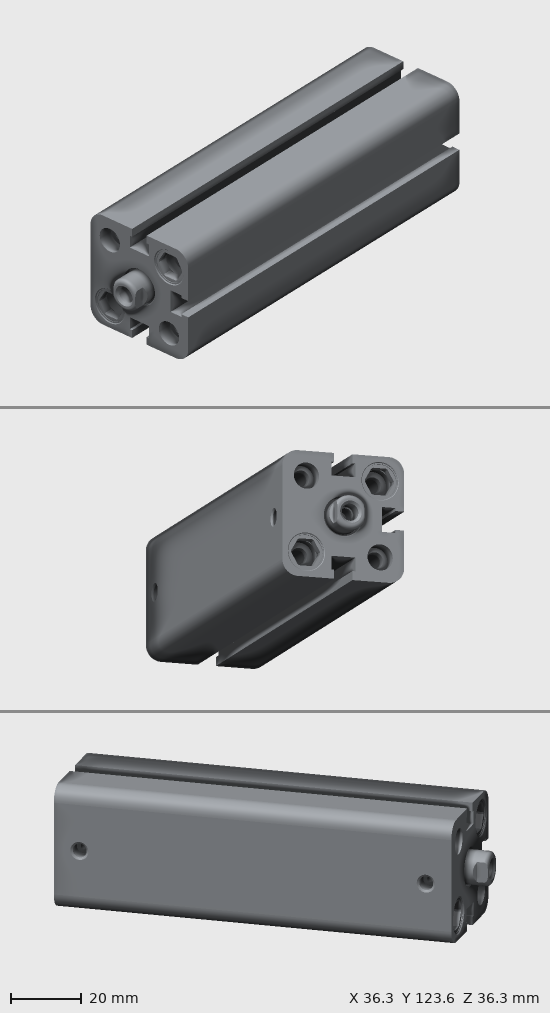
import cadquery as cq
import math

width = 36.3
total_length = 123.6
rod_reach = 6.5
body_length = total_length - rod_reach
corner_radius = 4.6

slot_opening = 5.5
slot_width = 7.2
slot_depth = 6.5
slot_lip = 2.6

bolt_offset = 11.0
through_diameter = 4.1
seat_diameter = 5.0
seat_depth = 1.2
bore_diameter = 7.5
bore_depth = 4.7

nut_rim_diameter = 11.1
nut_bore_diameter = 10.8
nut_bore_depth = 0.4
nut_face_diameter = 10.0
nut_face_depth = 0.6
nut_hex_flats = 7.8
nut_hex_corners = 8.7
nut_hex_depth = 3.5
nut_hole_diameter = 8.0
nut_hole_depth = 6.4

rod_diameter = 10.0
rod_tip_radius = 1.2
rod_flats = 8.0
flat_run_out_start = 2.3
rod_recess_rim = 11.6
rod_recess_diameter = 11.1
rod_recess_depth = 1.2
rod_mouth_diameter = 6.4
rod_thread_diameter = 5.0
rod_mouth_depth = 0.7
rod_core_diameter = 4.1
rod_thread_depth = 5.0
rod_hole_depth = 9.9

port_inset = 7.5
port_diameter = 5.3
port_thread_diameter = 4.1
port_bevel = 0.43
port_depth = 4.3
port_passage_diameter = 1.7
port_passage_depth = 6.8


def cylinder_y(diameter, start, length, x=0.0, z=0.0):
    """Cylinder along +Y from Y = start."""
    base = cq.Vector(x, start, z)
    return cq.Workplane(cq.Solid.makeCylinder(diameter / 2, length, base, cq.Vector(0, 1, 0)))


def cone_y(start_diameter, end_diameter, start, length, x=0.0, z=0.0):
    """Cone along +Y from Y = start."""
    base = cq.Vector(x, start, z)
    return cq.Workplane(
        cq.Solid.makeCone(start_diameter / 2, end_diameter / 2, length, base, cq.Vector(0, 1, 0))
    )


def make_slot():
    """Stepped slot cutter for the +Z side, narrow at the surface and wider inside."""
    half = width / 2
    opening = cq.Workplane().box(slot_opening, body_length, slot_depth)
    opening = opening.translate((0, body_length / 2, half - slot_depth / 2))
    undercut_height = slot_depth - slot_lip
    undercut = cq.Workplane().box(slot_width, body_length, undercut_height)
    undercut = undercut.translate((0, body_length / 2, half - slot_depth + undercut_height / 2))
    return opening.union(undercut)


def make_body():
    body = cq.Workplane().box(width, body_length, width).edges("|Y").fillet(corner_radius)
    body = body.translate((0, body_length / 2, 0))
    slot = make_slot()
    for angle in (0, 90, 180):
        body = body.cut(slot.rotate((0, 0, 0), (0, 1, 0), angle))
    return body


def make_through_hole(x, z, seat_start):
    """Hole through the whole body with a conical seat that begins at seat_start."""
    through = cylinder_y(through_diameter, 0, body_length, x, z)
    return through.union(cone_y(seat_diameter, through_diameter, seat_start, seat_depth, x, z))


def make_plain_bolt_hole(x, z):
    through = make_through_hole(x, z, bore_depth)
    return through.union(cylinder_y(bore_diameter, 0, bore_depth, x, z))


def make_bevelled_bore(rim_diameter, bore_diameter, depth, x=0.0, z=0.0):
    """Blind bore in the front face with a 45 degree bevel around its rim."""
    bevel = (rim_diameter - bore_diameter) / 2
    bore = cylinder_y(bore_diameter, 0, depth, x, z)
    return bore.union(cone_y(rim_diameter, bore_diameter, 0, bevel, x, z))


def make_nut_hole(x, z):
    """Through hole below a sunk nut with a stepped rim and a hexagonal socket."""
    rim = make_bevelled_bore(nut_rim_diameter, nut_bore_diameter, nut_bore_depth, x, z)
    face = cylinder_y(nut_face_diameter, 0, nut_face_depth, x, z)

    sharp_corners = nut_hex_flats / math.cos(math.pi / 6)
    socket = cq.Workplane("XZ").center(x, z).polygon(6, sharp_corners).extrude(-nut_hex_depth)
    socket = socket.intersect(cylinder_y(nut_hex_corners, 0, nut_hex_depth, x, z))
    hole = cylinder_y(nut_hole_diameter, nut_hex_depth, nut_hole_depth - nut_hex_depth, x, z)

    through = make_through_hole(x, z, nut_hole_depth)
    return through.union(rim).union(face).union(socket).union(hole)


def make_rod():
    """Round rod rooted in the recess floor, with a rounded tip and two wrench flats."""
    rod = cylinder_y(rod_diameter, -rod_reach, rod_reach + rod_recess_depth)
    rod = rod.faces("<Y").edges().fillet(rod_tip_radius)
    flat_x = rod_flats / 2
    edge_x = rod_diameter / 2
    run_out = edge_x - flat_x
    flat_cut = (
        cq.Workplane("XY")
        .polyline(
            [
                (edge_x, -flat_run_out_start),
                (flat_x, -flat_run_out_start - run_out),
                (flat_x, -rod_reach),
                (edge_x, -rod_reach),
            ]
        )
        .close()
        .extrude(rod_diameter / 2, both=True)
    )
    return rod.cut(flat_cut).cut(flat_cut.mirror("YZ"))


def make_rod_hole():
    """Countersunk hole in the rod end that steps down to a smaller core."""
    mouth = cone_y(rod_mouth_diameter, rod_thread_diameter, -rod_reach, rod_mouth_depth)
    thread = cylinder_y(rod_thread_diameter, -rod_reach, rod_thread_depth)
    core = cylinder_y(rod_core_diameter, -rod_reach, rod_hole_depth)
    return mouth.union(thread).union(core)


def make_port(y):
    """Bevelled port hole with a narrow passage, entering along +X."""
    base = cq.Vector(-width / 2, y, 0)
    along_x = cq.Vector(1, 0, 0)
    bevel = cq.Solid.makeCone(port_diameter / 2, port_thread_diameter / 2, port_bevel, base, along_x)
    thread = cq.Solid.makeCylinder(port_thread_diameter / 2, port_depth, base, along_x)
    passage = cq.Solid.makeCylinder(port_passage_diameter / 2, port_passage_depth, base, along_x)
    return cq.Workplane(bevel).union(cq.Workplane(thread)).union(cq.Workplane(passage))


result = make_body()
for side in (-1, 1):
    result = result.cut(make_plain_bolt_hole(side * bolt_offset, -side * bolt_offset))
    result = result.cut(make_nut_hole(side * bolt_offset, side * bolt_offset))
result = result.cut(make_bevelled_bore(rod_recess_rim, rod_recess_diameter, rod_recess_depth))
result = result.union(make_rod()).cut(make_rod_hole())
for port_y in (port_inset, body_length - port_inset):
    result = result.cut(make_port(port_y))